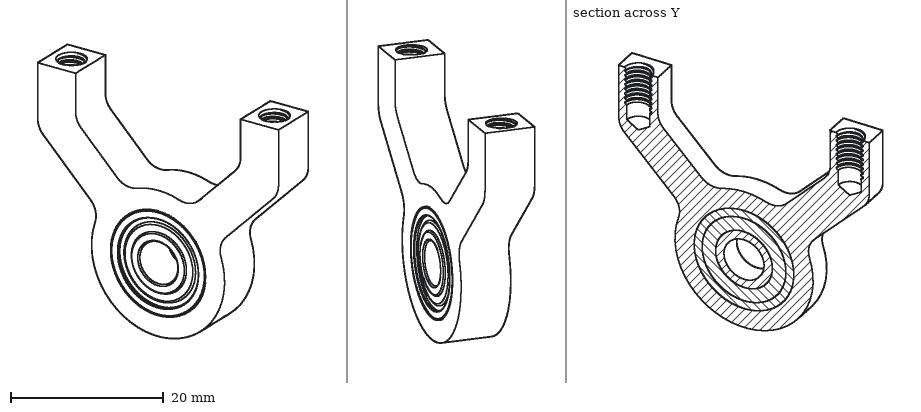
import cadquery as cq
import math

thickness = 7.0
hub_radius = 10.5
overall_width = 38.0
arm_width = 6.0
arm_top_z = 24.0
bend_radius = 3.0
blend_radius = 3.0
arm_x = (overall_width - arm_width) / 2
outer_x = arm_x + arm_width / 2
inner_x = arm_x - arm_width / 2
front_y = -thickness / 2
arm_edge_rise = arm_width / 2 * math.sqrt(2)

thread_pitch = 0.7
thread_minor_radius = 3.4 / 2
thread_major_radius = 4.0 / 2
countersink_radius = 4.1 / 2
thread_turns = 9
thread_root_flat = thread_pitch / 8
thread_mouth = thread_pitch * 3 / 4
thread_overrun = 0.5
groove_overlap = 0.06
tap_depth = 8.0
drill_point_angle = 118.0
drill_seam_angle = 180.0

bore_radius = 3.0
bearing_radius = 7.5
inner_ring_radius = 4.35
outer_ring_inner_radius = 6.3
ring_chamfer = 0.2
outer_ring_lip_chamfer = 0.1

plate_radius = 5.35
track_radius = 5.65
plate_recess = 0.2
track_recess = 0.4


def arm_outline(side):
    """Outline of one cranked arm from the hub centre; side is +1 or -1 in X."""
    hub_root = arm_edge_rise / 2
    points = [
        (-hub_root, hub_root),
        (inner_x, inner_x + arm_edge_rise),
        (inner_x, arm_top_z),
        (outer_x, arm_top_z),
        (outer_x, outer_x - arm_edge_rise),
        (hub_root, -hub_root),
    ]
    return [(side * x, z) for x, z in points]


def edge_at(x, z):
    """Selector for the Y-parallel edge that passes through (x, z)."""
    tolerance = 0.01
    return cq.selectors.BoxSelector(
        (x - tolerance, -thickness, z - tolerance),
        (x + tolerance, thickness, z + tolerance),
    )


def cross_section():
    """XZ workplane whose extrusions run from the front face toward +Y."""
    return cq.Workplane("XZ", origin=(0, front_y, 0))


def make_bracket_blank():
    blank = cross_section().circle(hub_radius).extrude(-thickness)
    for side in (-1, 1):
        arm = cross_section().polyline(arm_outline(side)).close().extrude(-thickness)
        blank = blank.union(arm)

    along = math.sqrt(hub_radius**2 - (arm_width / 2) ** 2)
    near = (along - arm_width / 2) / math.sqrt(2)
    far = (along + arm_width / 2) / math.sqrt(2)
    bends = [(inner_x, inner_x + arm_edge_rise), (outer_x, outer_x - arm_edge_rise)]
    blends = [(near, far), (far, near)]
    for radius, corners in ((bend_radius, bends), (blend_radius, blends)):
        for x, z in corners:
            for side in (-1, 1):
                blank = blank.edges(edge_at(side * x, z)).fillet(radius)
    return blank


def make_drill():
    """Countersunk drilled hole with a conical point, mouth at the origin."""
    point_depth = thread_minor_radius / math.tan(math.radians(drill_point_angle / 2))
    countersink_depth = countersink_radius - thread_minor_radius
    profile = [
        (0, 0),
        (countersink_radius, 0),
        (thread_minor_radius, -countersink_depth),
        (thread_minor_radius, -tap_depth),
        (0, -tap_depth - point_depth),
    ]
    drill = cq.Workplane("XZ").polyline(profile).close().revolve(360, (0, 0, 0), (0, 1, 0))
    return drill.rotate((0, 0, 0), (0, 0, 1), drill_seam_angle)


def make_thread_groove():
    """Right-hand helical V groove that runs out above the mouth of the hole."""
    flank_slope = (thread_mouth - thread_root_flat) / 2 / (thread_major_radius - thread_minor_radius)
    half_mouth = thread_mouth / 2 + groove_overlap * flank_slope
    half_root = thread_root_flat / 2
    inner_radius = thread_minor_radius - groove_overlap
    length = thread_turns * thread_pitch
    path = cq.Wire.makeHelix(thread_pitch, length, thread_minor_radius)
    profile = [
        (inner_radius, -half_mouth),
        (thread_major_radius, -half_root),
        (thread_major_radius, half_root),
        (inner_radius, half_mouth),
    ]
    groove = cq.Workplane("XZ").polyline(profile).close().sweep(cq.Workplane(path), isFrenet=True)
    return groove.translate((0, 0, thread_overrun - length))


def make_bracket():
    bracket = make_bracket_blank()
    bracket = bracket.cut(cross_section().circle(bearing_radius).extrude(-thickness))
    drill = make_drill()
    groove = make_thread_groove()
    for side in (-1, 1):
        mouth = (side * arm_x, 0, arm_top_z)
        bracket = bracket.cut(drill.translate(mouth))
        bracket = bracket.cut(groove.translate(mouth))
    return bracket


def revolve_about_y(front_profile):
    """Revolve a (radius, recess) front profile, mirrored onto the back face, about the Y axis."""
    front = [(radius, front_y + recess) for radius, recess in front_profile]
    back = [(radius, -y) for radius, y in reversed(front)]
    return cq.Workplane("XY").polyline(front + back).close().revolve(360, (0, 0, 0), (0, 1, 0))


def make_outer_ring():
    return revolve_about_y([
        (outer_ring_inner_radius, outer_ring_lip_chamfer),
        (outer_ring_inner_radius + outer_ring_lip_chamfer, 0),
        (bearing_radius - ring_chamfer, 0),
        (bearing_radius, ring_chamfer),
    ])


def make_inner_ring():
    return revolve_about_y([
        (bore_radius, ring_chamfer),
        (bore_radius + ring_chamfer, 0),
        (inner_ring_radius - ring_chamfer, 0),
        (inner_ring_radius, ring_chamfer),
    ])


def make_shield():
    return revolve_about_y([
        (inner_ring_radius, plate_recess),
        (plate_radius, plate_recess),
        (track_radius, track_recess),
        (outer_ring_inner_radius, track_recess),
    ])


bracket = make_bracket()
outer_ring = make_outer_ring()
inner_ring = make_inner_ring()
shield = make_shield()

result = cq.Compound.makeCompound([
    bracket.solids().val(),
    outer_ring.val(),
    inner_ring.val(),
    shield.val(),
])